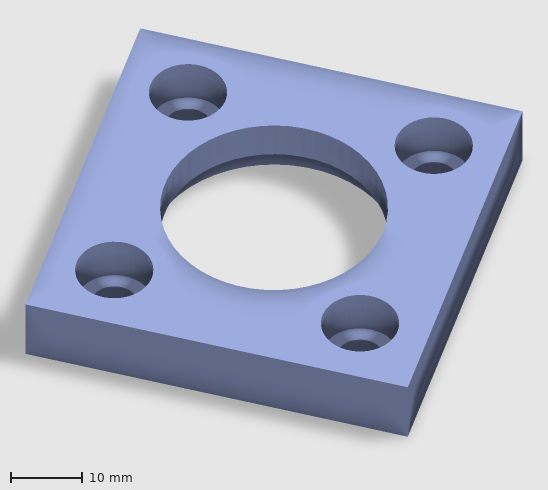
import cadquery as cq

side = 56.0
thickness = 10.0

bore_diameter = 32.0
recess_diameter = 36.0
recess_depth = 4.2

hole_spacing = 36.0
hole_diameter = 6.6
counterbore_diameter = 11.0
counterbore_depth = 6.8

plate = cq.Workplane("XY").box(side, side, thickness, centered=(True, True, False))

bore = cq.Workplane("XY").circle(bore_diameter / 2).extrude(thickness)
recess = cq.Workplane("XY").circle(recess_diameter / 2).extrude(recess_depth)

result = (
    plate.cut(bore)
    .cut(recess)
    .faces(">Z")
    .workplane(origin=(0, 0, thickness))
    .rect(hole_spacing, hole_spacing, forConstruction=True)
    .vertices()
    .cboreHole(hole_diameter, counterbore_diameter, counterbore_depth)
)